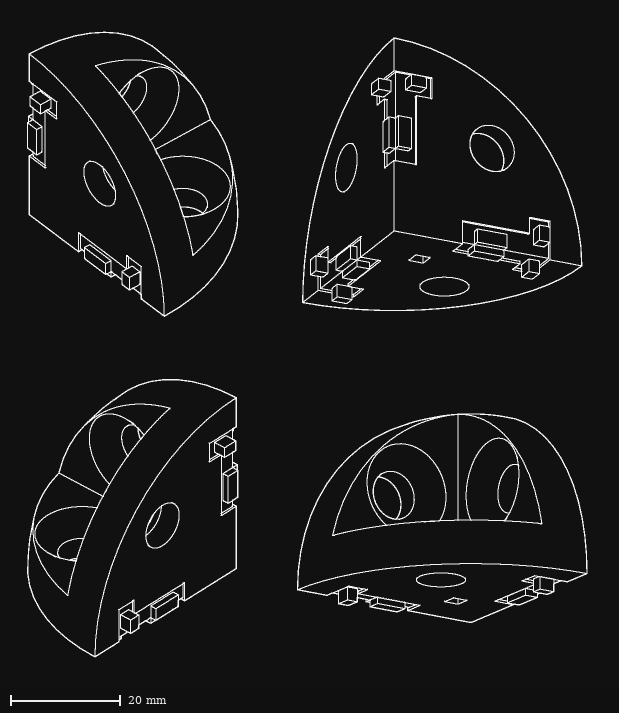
import cadquery as cq

overall = 40.0
peg_projection = 2.0
ball_radius = overall - peg_projection
wall = 8.55

screw_offset = 19.85
screw_diameter = 8.95
countersink_diameter = 17.3
countersink_depth = (countersink_diameter - screw_diameter) / 2

drain_side = 2.9

clip_inset = 0.5
leg_thickness = 1.0
clip_start = 13.9
clip_end = 31.5
head_length = 4.1

narrow_reach = 4.05
head_extra = 3.1
extra_reach = {"X": 0.0, "Y": clip_inset, "Z": 0.0}

peg_length = 2.15
peg_width = 3.0
pad_start = 16.5
pad_length = 6.0
pad_reach = 3.1
pad_projection = 0.8

AXES = "XYZ"


def span_box(spans):
    """Box from a dictionary that gives its (low, high) limits along each axis."""
    size = [spans[axis][1] - spans[axis][0] for axis in AXES]
    low = [spans[axis][0] for axis in AXES]
    return cq.Workplane("XY").box(*size, centered=False).translate(tuple(low))


def face_box(edge, face, along, across, depth):
    """Box on a face next to an edge: depth runs into the face, negative is outside."""
    side = next(axis for axis in AXES if axis not in (edge, face))
    return span_box({edge: along, side: across, face: depth})


def faces_beside(edge):
    """The two housing faces that meet at the straight edge along an axis."""
    return [axis for axis in AXES if axis != edge]


def leg_reach(face):
    """How far a leg spreads from the housing edge, at its narrow part and at its head."""
    narrow = narrow_reach + extra_reach[face]
    return narrow, narrow + head_extra


def leg(edge, face, surface, depth):
    """L-shaped leg in one face, running from surface to depth."""
    narrow, head = leg_reach(face)
    strip = face_box(edge, face, (clip_start, clip_end), (surface, narrow), (surface, depth))
    head_span = (clip_end - head_length, clip_end)
    return strip.union(face_box(edge, face, head_span, (surface, head), (surface, depth)))


def angle(edge, surface):
    """Both legs of a clip, with their outer surfaces at the given depth."""
    depth = clip_inset + leg_thickness
    first, second = faces_beside(edge)
    return leg(edge, first, surface, depth).union(leg(edge, second, surface, depth))


def peg(edge, face):
    """Long projection, centred on the head of a leg."""
    _, head = leg_reach(face)
    along_middle = clip_end - head_length / 2
    across_middle = (clip_inset + head) / 2
    along = (along_middle - peg_length / 2, along_middle + peg_length / 2)
    across = (across_middle - peg_width / 2, across_middle + peg_width / 2)
    return face_box(edge, face, along, across, (-peg_projection, clip_inset))


def pad(edge, face):
    """Low projection beside the corner of the angle."""
    along = (pad_start, pad_start + pad_length)
    return face_box(edge, face, along, (clip_inset, pad_reach), (-pad_projection, clip_inset))


def make_clip(edge):
    """Clip for one straight edge: the angle with a peg and a pad on each leg."""
    clip = angle(edge, clip_inset)
    for face in faces_beside(edge):
        clip = clip.union(peg(edge, face)).union(pad(edge, face))
    return clip


def screw_hole(face):
    """Hole through one wall, with its countersink opening to the inside."""
    center = {axis: 0.0 if axis == face else screw_offset for axis in AXES}
    direction = {axis: 1.0 if axis == face else 0.0 for axis in AXES}
    screw_radius = screw_diameter / 2
    start = cq.Vector(*center.values())
    inward = cq.Vector(*direction.values())
    shank = cq.Solid.makeCylinder(screw_radius, wall, start, inward)
    cone_start = start + inward * (wall - countersink_depth)
    cone = cq.Solid.makeCone(
        screw_radius, countersink_diameter / 2, countersink_depth, cone_start, inward
    )
    return cq.Workplane(shank).union(cq.Workplane(cone))


def make_housing():
    """Ball octant with three walls, their screw holes, clip recesses and the drain."""
    octant = span_box({axis: (0.0, ball_radius) for axis in AXES})
    housing = cq.Workplane("XY").sphere(ball_radius).intersect(octant)
    housing = housing.cut(span_box({axis: (wall, ball_radius) for axis in AXES}))
    for axis in AXES:
        housing = housing.cut(screw_hole(axis))
        housing = housing.cut(angle(axis, 0.0))
    drain_span = (wall, wall + drain_side)
    return housing.cut(span_box({"X": drain_span, "Y": drain_span, "Z": (0.0, wall)}))


housing = make_housing()
clips = [make_clip(edge) for edge in AXES]

result = cq.Compound.makeCompound([body.solids().val() for body in (housing, *clips)])